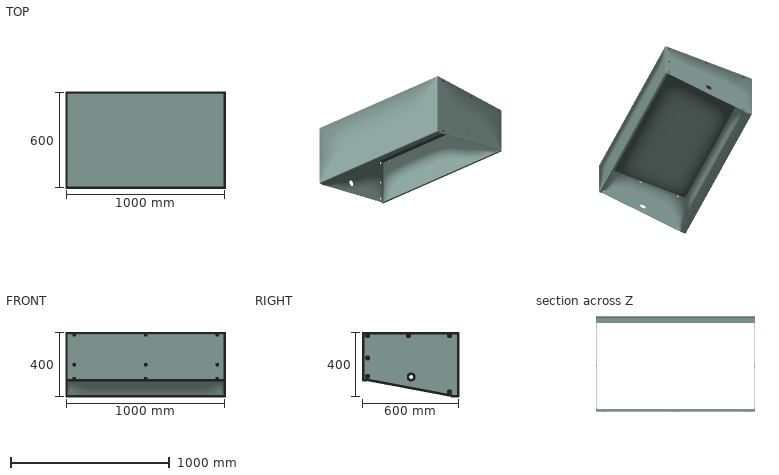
import cadquery as cq

LENGTH = 1000.0
DEPTH = 600.0
HEIGHT = 400.0
FRONT_HEIGHT = 300.0

SHEET = 3.0
BEND_RADIUS = 6.0
REAR_FLANGE = 40.0
FRONT_FLANGE = 18.0

END_THICKNESS = 3.0
END_FLANGE_GAP = 2.0

PICK_MARGIN = 1.0

FRONT_HOLE_DIAMETER = 9.0
FRONT_HOLE_END_INSET = 50.0
FRONT_HOLE_EDGE_INSET = 11.0
FRONT_HOLE_MIDDLE_DROP = 200.0

END_HOLE_DIAMETER = 15.0
END_HOLE_REAR_Y = 244.0
END_HOLE_FRONT_Y = -271.0
END_HOLE_TOP_Z = 382.0
END_HOLE_MIDDLE_Z = 242.0
END_HOLE_FRONT_LOW_Z = 127.0
END_HOLE_REAR_LOW_Z = 28.0
CABLE_HOLE_DIAMETER = 39.0
CABLE_HOLE_Y = 3.0
CABLE_HOLE_Z = 122.0

REAR_Y = DEPTH / 2
FRONT_Y = -DEPTH / 2
FRONT_BOTTOM_Z = HEIGHT - FRONT_HEIGHT
REAR_FLANGE_Y = REAR_Y - REAR_FLANGE
FRONT_FLANGE_Y = FRONT_Y + FRONT_FLANGE


def extrude_along_length(points, start_x, length):
    """Extrude a closed outline of (y, z) points toward +X from start_x."""
    return cq.Workplane("YZ", origin=(start_x, 0, 0)).polyline(points).close().extrude(length)


def section_chain(offset):
    """Corner points of the wrapper's section, rear flange to front flange, moved inward by offset."""
    rear, front, top = REAR_Y - offset, FRONT_Y + offset, HEIGHT - offset
    return [
        (REAR_FLANGE_Y, offset),
        (rear, offset),
        (rear, top),
        (front, top),
        (front, FRONT_BOTTOM_Z + offset),
        (FRONT_FLANGE_Y, FRONT_BOTTOM_Z + offset),
    ]


def round_bends(solid, bends, radius):
    """Round the lengthwise edges that pass through the given (y, z) points."""
    for y, z in bends:
        corner_box = cq.selectors.BoxSelector(
            (-LENGTH, y - PICK_MARGIN, z - PICK_MARGIN),
            (LENGTH, y + PICK_MARGIN, z + PICK_MARGIN),
        )
        solid = solid.edges("|X").edges(corner_box).fillet(radius)
    return solid


def front_wall_drills():
    """Three rows of three screw drills that pass through the front wall only."""
    drill_reach = 2 * SHEET
    spread = LENGTH / 2 - FRONT_HOLE_END_INSET
    heights = [
        HEIGHT - FRONT_HOLE_EDGE_INSET,
        HEIGHT - FRONT_HOLE_MIDDLE_DROP,
        FRONT_BOTTOM_Z + FRONT_HOLE_EDGE_INSET,
    ]
    centres = [(x, z) for x in (-spread, 0, spread) for z in heights]
    return (
        cq.Workplane("XZ", origin=(0, FRONT_Y + drill_reach, 0))
        .pushPoints(centres)
        .circle(FRONT_HOLE_DIAMETER / 2)
        .extrude(2 * drill_reach)
    )


def make_wrapper():
    """Sheet folded round the rear, top and front, with a short flange under each wall."""
    outside = section_chain(0)
    inside = section_chain(SHEET)
    wrapper = extrude_along_length(outside + inside[::-1], -LENGTH / 2, LENGTH)
    wrapper = round_bends(wrapper, outside[1:-1], BEND_RADIUS)
    wrapper = round_bends(wrapper, inside[1:-1], BEND_RADIUS - SHEET)
    return wrapper.cut(front_wall_drills())


def end_panel_drills():
    """Screw and cable drills that pass through both end panels."""
    screw_centres = [
        (END_HOLE_REAR_Y, END_HOLE_TOP_Z),
        ((END_HOLE_REAR_Y + END_HOLE_FRONT_Y) / 2, END_HOLE_TOP_Z),
        (END_HOLE_FRONT_Y, END_HOLE_TOP_Z),
        (END_HOLE_FRONT_Y, END_HOLE_MIDDLE_Z),
        (END_HOLE_FRONT_Y, END_HOLE_FRONT_LOW_Z),
        (END_HOLE_REAR_Y, END_HOLE_REAR_LOW_Z),
    ]
    end_face = cq.Workplane("YZ", origin=(-LENGTH / 2, 0, 0))
    screws = end_face.pushPoints(screw_centres).circle(END_HOLE_DIAMETER / 2).extrude(LENGTH)
    cable = end_face.center(CABLE_HOLE_Y, CABLE_HOLE_Z).circle(CABLE_HOLE_DIAMETER / 2).extrude(LENGTH)
    return screws.union(cable)


def make_end_panel(start_x):
    """Flat panel that closes the wrapper's section, with a sloping lower edge between the flanges."""
    inside = section_chain(SHEET)
    front_bottom_z = FRONT_BOTTOM_Z + SHEET + END_FLANGE_GAP
    inside[-2:] = [(FRONT_Y + SHEET, front_bottom_z), (FRONT_FLANGE_Y, front_bottom_z)]
    panel = extrude_along_length(inside, start_x, END_THICKNESS)
    panel = round_bends(panel, inside[1:-1], BEND_RADIUS - SHEET)
    return panel.cut(end_panel_drills())


wrapper = make_wrapper()
end_panels = [make_end_panel(x) for x in (-LENGTH / 2, LENGTH / 2 - END_THICKNESS)]
result = cq.Compound.makeCompound([wrapper.val(), *[panel.val() for panel in end_panels]])